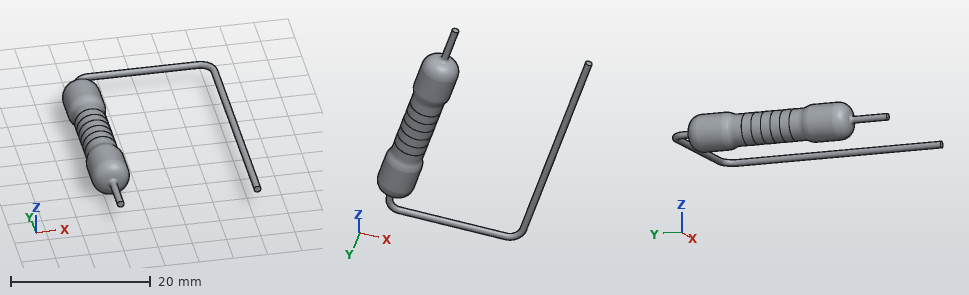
import cadquery as cq
import math


lead_diameter = 1.0
lead_radius = lead_diameter / 2
bend_radius = 2.0
overall_length = 34.1
overall_width = 23.25

cap_radius = 5.5 / 2
core_radius = 4.67 / 2
band_radius = 4.7 / 2
body_center = 18.1
body_half_length = 13.0
cap_outer_edge = 10.57
cap_inner_edge = 6.72
core_half_length = 5.1
meniscus_radius = 0.55

band_pitch = 2.95
band_width = band_pitch / 2
band_count = 3

lead_spacing = overall_width - cap_radius - lead_radius
cross_run_y = overall_length - lead_radius
bend_start_y = cross_run_y - bend_radius


def make_half_body():
    """Half of the body, revolved about Y from its middle to the meniscus end."""
    shoulder_mid_y = (cap_inner_edge + core_half_length) / 2
    shoulder_mid_radius = (cap_radius + core_radius) / 2

    meniscus_center = lead_radius + meniscus_radius
    dome_inset = cap_radius - meniscus_center
    dome_height = body_half_length - cap_outer_edge
    dome_radius = (dome_inset**2 + dome_height**2 - meniscus_radius**2) / (
        2 * (dome_inset + meniscus_radius)
    )
    dome_center = cap_radius - dome_radius
    contact_angle = math.atan2(dome_height, meniscus_center - dome_center)
    contact = (
        dome_center + dome_radius * math.cos(contact_angle),
        cap_outer_edge + dome_radius * math.sin(contact_angle),
    )

    return (
        cq.Workplane("XY")
        .lineTo(core_radius, 0)
        .lineTo(core_radius, core_half_length)
        .tangentArcPoint((shoulder_mid_radius, shoulder_mid_y), relative=False)
        .tangentArcPoint((cap_radius, cap_inner_edge), relative=False)
        .lineTo(cap_radius, cap_outer_edge)
        .tangentArcPoint(contact, relative=False)
        .tangentArcPoint((lead_radius, body_half_length), relative=False)
        .lineTo(0, body_half_length)
        .close()
        .revolve(360, (0, 0, 0), (0, 1, 0))
    )


def make_body():
    half = make_half_body()
    body = half.union(half.mirror("XZ"))
    for index in range(band_count):
        band_start_y = (index - (band_count - 1) / 2) * band_pitch - band_width / 2
        band = (
            cq.Workplane("XZ", origin=(0, band_start_y, 0))
            .circle(band_radius)
            .extrude(-band_width)
        )
        body = body.union(band)
    return body.translate((0, body_center, 0))


def make_straight_lead():
    return (
        cq.Workplane("XZ")
        .circle(lead_radius)
        .extrude(-body_center)
    )


def make_folded_lead():
    path = (
        cq.Workplane("XY")
        .moveTo(0, body_center)
        .lineTo(0, bend_start_y)
        .tangentArcPoint((bend_radius, cross_run_y), relative=False)
        .lineTo(lead_spacing - bend_radius, cross_run_y)
        .tangentArcPoint((lead_spacing, bend_start_y), relative=False)
        .lineTo(lead_spacing, 0)
    )
    return (
        cq.Workplane("XZ", origin=(0, body_center, 0))
        .circle(lead_radius)
        .sweep(path)
    )


result = make_body().union(make_straight_lead()).union(make_folded_lead())